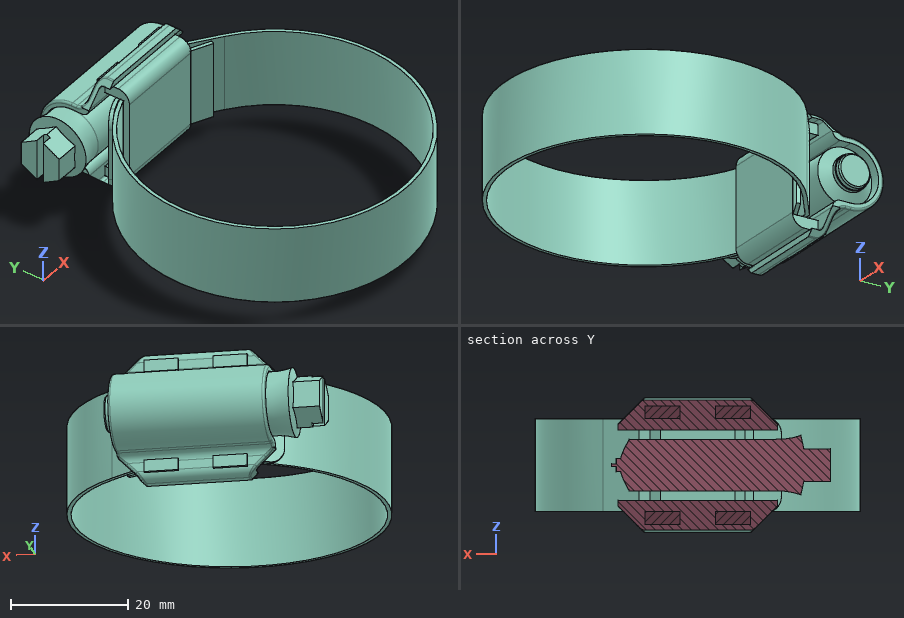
import cadquery as cq
import math


TOTAL_LENGTH = 67.4

BAND_RADIUS = 27.7
BAND_THICKNESS = 0.75
BAND_WIDTH = 15.85
LAYER_GAP = 0.1
LOWER_LAYER_Y = 25.35
JOIN_ANGLE = 54.5
OUTER_TAIL_X = -13.9
OUTER_TAIL_CORNER = 2.55
INNER_TAIL_BEND_X = 6.7
INNER_TAIL_ANGLE = 25.4
INNER_TAIL_LENGTH = 7.0
PAD_TOP_Y = 28.4
PAD_HALF_LENGTH = 8.1
PAD_RAMP_ANGLE = 40.0
SCREW_CLEARANCE = 0.1

SHELL_RADIUS = 6.75
SHEET = 1.15
SCREW_Y = TOTAL_LENGTH - BAND_RADIUS - SHELL_RADIUS
HOUSING_HALF_LENGTH = 13.6
HOUSING_WIDTH = 23.0
HOUSING_HALF_WIDTH = HOUSING_WIDTH / 2
FLANGE_Y = 30.4
NECK_RADIUS = 1.5
NECK_UNDERSIDE_RADIUS = 1.55
LIP_RADIUS = 1.7
LIP_END_Y = 27.3
CORNER_SUM = 20.55
HOUSING_EDGE = 0.4
TOLERANCE = 0.01

SADDLE_LENGTH = 17.85
SADDLE_HALF_LENGTH = SADDLE_LENGTH / 2
SADDLE_HALF_WIDTH = 10.05
SADDLE_BOTTOM_Y = 24.1
SADDLE_CORNER = 2.35
SADDLE_INNER_HALF_WIDTH = 7.95
SEAT_GAP = 0.1
TAB_INNER_X = 3.0
TAB_TOP_Y = 30.9

HEAD_END_X = -22.65
HEAD_ACROSS_FLATS = 8.0
SLOT_WIDTH = 1.35
SLOT_DEPTH = 1.95
COLLAR_X = -17.6
COLLAR_RADIUS = 6.0
DOME_HEIGHT = 1.0
CORE_RADIUS = 5.45
CORE_START_X = -13.35
FLARE_MID_X = -15.7
FLARE_MID_RADIUS = 5.6
CORE_END_X = 11.65
JOURNAL_RADIUS = 3.4
JOURNAL_START_X = 13.15
JOURNAL_END_X = 13.9
STUB_RADIUS = 3.2
STUB_END_X = 14.95
STUB_CHAMFER = 0.3

BAND_INNER_RADIUS = BAND_RADIUS - BAND_THICKNESS
LOWER_TOP_Y = LOWER_LAYER_Y + BAND_THICKNESS
UPPER_LAYER_Y = LOWER_TOP_Y + LAYER_GAP
UPPER_TOP_Y = UPPER_LAYER_Y + BAND_THICKNESS
TAIL_SLOPE = math.tan(math.radians(INNER_TAIL_ANGLE))
FLANGE_UNDERSIDE_Y = FLANGE_Y - SHEET


def left_point(radius, y):
    """Point at height y on the left half of a circle about the ring axis."""
    return (-math.sqrt(radius**2 - y**2), y)


def tail_tip(radius):
    """End of the outer tail on a circle about the ring axis."""
    return (OUTER_TAIL_X, math.sqrt(radius**2 - OUTER_TAIL_X**2))


def join_point(radius):
    """Point where the ring leaves a circle along its tangent."""
    angle = math.radians(JOIN_ANGLE)
    return (radius * math.cos(angle), radius * math.sin(angle))


def join_corner(radius, y):
    """Point where that tangent meets the flat layer at height y."""
    angle = math.radians(JOIN_ANGLE)
    return ((radius - y * math.sin(angle)) / math.cos(angle), y)


def arc_to(outline, start, end, radius):
    """Add the short arc about the ring axis between two points on its left side."""
    middle_angle = (math.atan2(start[1], start[0]) + math.atan2(end[1], end[0])) / 2
    middle = (radius * math.cos(middle_angle), radius * math.sin(middle_angle))
    return outline.threePointArc(middle, end)


def make_band():
    angle = math.radians(INNER_TAIL_ANGLE)
    along = (math.cos(angle), -math.sin(angle))
    across = (math.sin(angle) * BAND_THICKNESS, math.cos(angle) * BAND_THICKNESS)
    bend_low = (INNER_TAIL_BEND_X, LOWER_LAYER_Y)
    bend_high = (INNER_TAIL_BEND_X + BAND_THICKNESS * math.tan(angle / 2), LOWER_TOP_Y)
    tail_low = (bend_low[0] + along[0] * INNER_TAIL_LENGTH, bend_low[1] + along[1] * INNER_TAIL_LENGTH)
    tail_high = (tail_low[0] + across[0], tail_low[1] + across[1])

    tail_inner_radius = BAND_RADIUS + LAYER_GAP
    tail_outer_radius = tail_inner_radius + BAND_THICKNESS
    tail_inner_start = left_point(tail_inner_radius, UPPER_LAYER_Y)
    tail_outer_start = left_point(tail_outer_radius, UPPER_TOP_Y)
    tip_inner = tail_tip(tail_inner_radius)
    tip_outer = tuple(value * tail_outer_radius / tail_inner_radius for value in tip_inner)

    outline = cq.Workplane("XY", origin=(0, 0, -BAND_WIDTH / 2)).moveTo(*tail_low)
    outline = outline.lineTo(*bend_low).lineTo(*left_point(BAND_INNER_RADIUS, LOWER_LAYER_Y))
    outline = outline.threePointArc((0, -BAND_INNER_RADIUS), join_point(BAND_INNER_RADIUS))
    outline = outline.lineTo(*join_corner(BAND_INNER_RADIUS, UPPER_LAYER_Y)).lineTo(*tail_inner_start)
    outline = arc_to(outline, tail_inner_start, tip_inner, tail_inner_radius).lineTo(*tip_outer)
    outline = arc_to(outline, tip_outer, tail_outer_start, tail_outer_radius)
    outline = outline.lineTo(*join_corner(BAND_RADIUS, UPPER_TOP_Y)).lineTo(*join_point(BAND_RADIUS))
    outline = outline.threePointArc((0, -BAND_RADIUS), left_point(BAND_RADIUS, LOWER_TOP_Y))
    outline = outline.lineTo(*bend_high).lineTo(*tail_high).close()
    band = outline.extrude(BAND_WIDTH)

    tip_corners = []
    for side in (1, -1):
        corner = ((tip_inner[0] + tip_outer[0]) / 2, (tip_inner[1] + tip_outer[1]) / 2, side * BAND_WIDTH / 2)
        tip_corners.append(band.edges(cq.selectors.NearestToPointSelector(corner)).val())
    band = band.newObject([band.val().fillet(OUTER_TAIL_CORNER, tip_corners)])
    return band.union(make_pad())


def make_pad():
    """Raised pad of the band with ramped ends and a trough for the screw core."""
    ramp = (PAD_TOP_Y - UPPER_TOP_Y) / math.tan(math.radians(PAD_RAMP_ANGLE))
    pad = cq.Workplane("XY", origin=(0, 0, -BAND_WIDTH / 2)).polyline([
        (-PAD_HALF_LENGTH, UPPER_TOP_Y),
        (PAD_HALF_LENGTH, UPPER_TOP_Y),
        (PAD_HALF_LENGTH - ramp, PAD_TOP_Y),
        (ramp - PAD_HALF_LENGTH, PAD_TOP_Y),
    ]).close().extrude(BAND_WIDTH)
    trough = cq.Workplane("YZ", origin=(-PAD_HALF_LENGTH, SCREW_Y, 0))
    trough = trough.circle(CORE_RADIUS + SCREW_CLEARANCE).extrude(2 * PAD_HALF_LENGTH)
    return pad.cut(trough)


def arc_middle(center, radius, degrees):
    """Point on a circle, used as the middle of an arc."""
    angle = math.radians(degrees)
    return (center[0] + radius * math.cos(angle), center[1] + radius * math.sin(angle))


def housing_half(offset, neck):
    """Upper half of the YZ area enclosed by the sheet surface at a depth below its outer face.

    The bend between tube and flange has the radius neck on this surface.
    """
    shell = SHELL_RADIUS - offset
    lip = LIP_RADIUS - offset
    flange_y = FLANGE_Y - offset
    lip_z = HOUSING_HALF_WIDTH - offset
    neck_center = (flange_y + neck, shell + neck)
    lip_center = (FLANGE_Y - LIP_RADIUS, HOUSING_HALF_WIDTH - LIP_RADIUS)
    outline = cq.Workplane("YZ", origin=(-HOUSING_HALF_LENGTH, 0, 0)).moveTo(LIP_END_Y, 0)
    outline = outline.lineTo(SCREW_Y + shell, 0)
    outline = outline.threePointArc(arc_middle((SCREW_Y, 0), shell, 45), (SCREW_Y, shell))
    outline = outline.lineTo(neck_center[0], shell)
    outline = outline.threePointArc(arc_middle(neck_center, neck, 225), (flange_y, neck_center[1]))
    outline = outline.lineTo(flange_y, lip_center[1])
    outline = outline.threePointArc(arc_middle(lip_center, lip, 45), (lip_center[0], lip_z))
    return outline.lineTo(LIP_END_Y, lip_z).close().extrude(2 * HOUSING_HALF_LENGTH)


def housing_area(offset, neck):
    half = housing_half(offset, neck)
    return half.union(half.mirror("XY"))


def same(first, second):
    """True when two lengths are equal within modelling tolerance."""
    return abs(first - second) < TOLERANCE


def is_outer_end_edge(edge):
    """True for the edges where the end cuts meet the outer sheet face."""
    start = edge.startPoint()
    end = edge.endPoint()
    along_x = same(start.y, end.y) and same(start.z, end.z)
    on_lip_end = same(start.y, LIP_END_Y) and same(end.y, LIP_END_Y)
    neck_z = CORNER_SUM - HOUSING_HALF_LENGTH
    between_cuts = same(abs(start.z), neck_z) and same(start.z, end.z)
    return not (along_x or on_lip_end or between_cuts)


def tab_block(side_x, side_z):
    """Block of one saddle tab, from the leg up through the flange."""
    length = SADDLE_HALF_LENGTH - TAB_INNER_X
    width = SADDLE_HALF_WIDTH - SADDLE_INNER_HALF_WIDTH
    bottom = FLANGE_UNDERSIDE_Y - SEAT_GAP
    block = cq.Workplane("XY").box(length, TAB_TOP_Y - bottom, width)
    return block.translate((
        side_x * (SADDLE_HALF_LENGTH + TAB_INNER_X) / 2,
        (TAB_TOP_Y + bottom) / 2,
        side_z * (SADDLE_HALF_WIDTH + SADDLE_INNER_HALF_WIDTH) / 2,
    ))


TABS = [tab_block(side_x, side_z) for side_x in (-1, 1) for side_z in (-1, 1)]


def make_housing():
    lip_x = CORNER_SUM - HOUSING_HALF_WIDTH
    neck_z = CORNER_SUM - HOUSING_HALF_LENGTH
    quarter = [(HOUSING_HALF_LENGTH, neck_z), (lip_x, HOUSING_HALF_WIDTH)]
    upper = quarter + [(-x, z) for x, z in reversed(quarter)]
    corners = upper + [(-x, -z) for x, z in upper]
    blank = cq.Workplane("XZ").polyline(corners).close().extrude(-TOTAL_LENGTH)
    body = housing_area(0, NECK_RADIUS).intersect(blank)
    edges = [edge for edge in body.edges().vals() if is_outer_end_edge(edge)]
    body = body.newObject([body.val().fillet(HOUSING_EDGE, edges)])
    body = body.cut(housing_area(SHEET, NECK_UNDERSIDE_RADIUS))
    for tab in TABS:
        body = body.cut(tab)
    return body


def make_saddle():
    leg_top = FLANGE_UNDERSIDE_Y - SEAT_GAP
    saddle = cq.Workplane("XY").box(SADDLE_LENGTH, leg_top - SADDLE_BOTTOM_Y, 2 * SADDLE_HALF_WIDTH)
    saddle = saddle.edges("|X and <Y").fillet(SADDLE_CORNER)
    saddle = saddle.translate((0, (leg_top + SADDLE_BOTTOM_Y) / 2, 0))

    end_x = SADDLE_HALF_LENGTH
    ramp_end_y = LOWER_LAYER_Y - (end_x - INNER_TAIL_BEND_X) * TAIL_SLOPE
    channel = cq.Workplane("XY", origin=(0, 0, -SADDLE_INNER_HALF_WIDTH)).polyline([
        (-end_x, LOWER_LAYER_Y),
        (INNER_TAIL_BEND_X, LOWER_LAYER_Y),
        (end_x, ramp_end_y),
        (end_x, leg_top),
        (-end_x, leg_top),
    ]).close().extrude(2 * SADDLE_INNER_HALF_WIDTH)
    saddle = saddle.cut(channel)
    for tab in TABS:
        saddle = saddle.union(tab)
    return saddle


def make_screw():
    profile = cq.Workplane("XY", origin=(0, SCREW_Y, 0)).moveTo(COLLAR_X - DOME_HEIGHT, 0)
    dome_radius = (COLLAR_RADIUS**2 + DOME_HEIGHT**2) / (2 * DOME_HEIGHT)
    mid_radius = COLLAR_RADIUS / 2
    dome_mid_x = COLLAR_X - DOME_HEIGHT + dome_radius - math.sqrt(dome_radius**2 - mid_radius**2)
    profile = profile.threePointArc((dome_mid_x, mid_radius), (COLLAR_X, COLLAR_RADIUS))
    profile = profile.threePointArc((FLARE_MID_X, FLARE_MID_RADIUS), (CORE_START_X, CORE_RADIUS))
    profile = profile.lineTo(CORE_END_X, CORE_RADIUS).lineTo(JOURNAL_START_X, JOURNAL_RADIUS)
    profile = profile.lineTo(JOURNAL_END_X, JOURNAL_RADIUS).lineTo(JOURNAL_END_X, STUB_RADIUS)
    profile = profile.lineTo(STUB_END_X - STUB_CHAMFER, STUB_RADIUS)
    profile = profile.lineTo(STUB_END_X, STUB_RADIUS - STUB_CHAMFER).lineTo(STUB_END_X, 0).close()
    screw = profile.revolve(360, (0, 0, 0), (1, 0, 0))

    corner_diameter = HEAD_ACROSS_FLATS / math.cos(math.radians(30))
    head = cq.Workplane("YZ", origin=(HEAD_END_X, SCREW_Y, 0)).transformed(rotate=(0, 0, 90))
    head = head.polygon(6, corner_diameter).extrude(COLLAR_X - HEAD_END_X)
    slot = cq.Workplane("XY").box(2 * SLOT_DEPTH, SLOT_WIDTH, 2 * corner_diameter)
    slot = slot.translate((HEAD_END_X, SCREW_Y, 0))
    return screw.union(head).cut(slot)


band = make_band()
housing = make_housing()
saddle = make_saddle()
screw = make_screw()
result = cq.Compound.makeCompound([body.solids().val() for body in (band, housing, saddle, screw)])